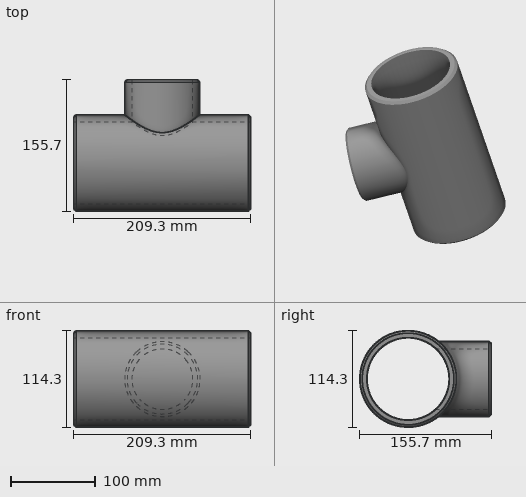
import cadquery as cq

run_length = 209.3
run_diameter = 114.3
wall = 8.5

branch_diameter = 89.0
branch_reach = 98.5

bevel = 3.0


def run_cylinder(diameter):
    """Cylinder along X, centred on the origin."""
    return cq.Workplane("YZ").circle(diameter / 2).extrude(run_length / 2, both=True)


def branch_cylinder(diameter):
    """Cylinder along +Y, from the run axis to the branch end face."""
    return cq.Workplane("XZ").circle(diameter / 2).extrude(-branch_reach)


run = run_cylinder(run_diameter).faces("<X or >X").chamfer(bevel)
branch = branch_cylinder(branch_diameter).faces(">Y").chamfer(bevel)

run_bore = run_cylinder(run_diameter - 2 * wall)
branch_bore = branch_cylinder(branch_diameter - 2 * wall)

result = run.union(branch).cut(run_bore).cut(branch_bore)